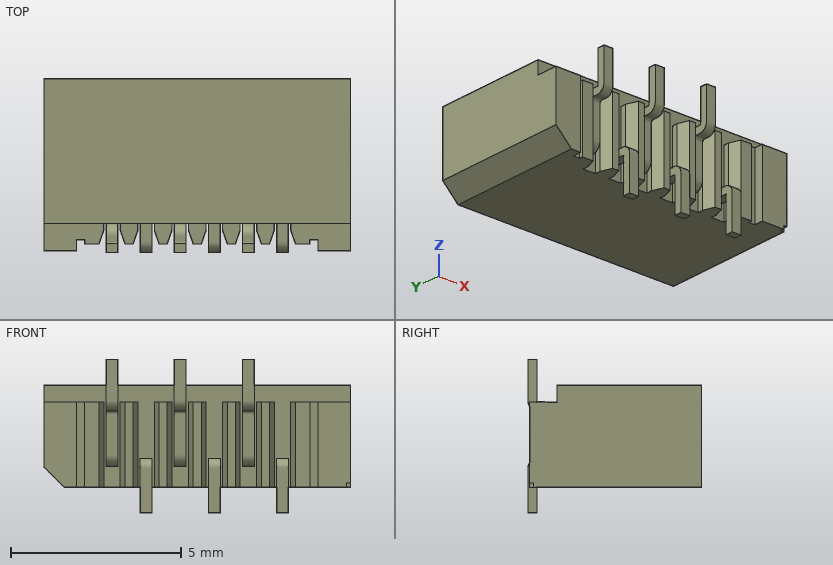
import cadquery as cq


housing_width = 9.0
housing_height = 3.0
block_depth = 4.25
front_depth = 0.8
ledge_drop = 0.5
edge_chamfer = 0.6

pitch = 1.0
pin_count = 6
slot_root_width = 0.48
slot_mouth_width = 0.76
slot_straight_depth = 0.2
rib_depth = 0.6
end_pad_width = 0.96
groove_width = 0.24
groove_bottom = 0.475

corner_notch = 0.12

pin_width = 0.35
pin_thickness = 0.27
pin_overhang = 0.75
pin_proud = 0.05
pin_embed = 0.5
tail_bend_radius = 0.03
root_bend_radius = 0.06
crank_bend_radius = 0.1
lower_tail_top = -0.65
crank_root_bottom = -0.89
crank_shelf_bottom = 0.74

half_width = housing_width / 2
half_height = housing_height / 2
ledge_z = half_height - ledge_drop
first_pin_x = -pitch * (pin_count - 1) / 2
pin_front = -(front_depth + pin_proud)
pin_back = pin_front + pin_thickness
tail_outer_radius = tail_bend_radius + pin_thickness
root_outer_radius = root_bend_radius + pin_thickness
crank_outer_radius = crank_bend_radius + pin_thickness


def extrude_comb_outline(outline):
    """Raise a plan outline from the housing floor to the ledge."""
    floor = cq.Workplane("XY", origin=(0, 0, -half_height))
    return floor.polyline(outline).close().extrude(ledge_z + half_height)


def main_block():
    floor = cq.Workplane("XY", origin=(-half_width, 0, -half_height))
    return floor.box(housing_width, block_depth, housing_height, centered=False)


def rib(center_x):
    half_root = (pitch - slot_root_width) / 2
    half_tip = (pitch - slot_mouth_width) / 2
    return extrude_comb_outline([
        (center_x - half_root, 0),
        (center_x - half_root, -slot_straight_depth),
        (center_x - half_tip, -rib_depth),
        (center_x + half_tip, -rib_depth),
        (center_x + half_root, -slot_straight_depth),
        (center_x + half_root, 0),
    ])


def left_end_block():
    pad_x = -half_width + end_pad_width
    groove_x = pad_x + groove_width
    return extrude_comb_outline([
        (-half_width, 0),
        (-half_width, -front_depth),
        (pad_x, -front_depth),
        (pad_x, -groove_bottom),
        (groove_x, -groove_bottom),
        (groove_x, -rib_depth),
        (first_pin_x - slot_mouth_width / 2, -rib_depth),
        (first_pin_x - slot_root_width / 2, -slot_straight_depth),
        (first_pin_x - slot_root_width / 2, 0),
    ])


def housing():
    body = main_block()
    end_block = left_end_block()
    body = body.union(end_block).union(end_block.mirror("YZ"))
    for index in range(pin_count - 1):
        body = body.union(rib(first_pin_x + (index + 0.5) * pitch))
    body = body.edges("|Y and <X and <Z").chamfer(edge_chamfer)
    notch_origin = (half_width - corner_notch, -front_depth, -half_height)
    notch = cq.Workplane("XY", origin=notch_origin).box(
        corner_notch, corner_notch, corner_notch, centered=False
    )
    return body.cut(notch)


def pin_profile_plane(center_x):
    return cq.Workplane("YZ", origin=(center_x, 0, 0))


def lower_pin(center_x):
    """Tail that leaves the wall level and turns straight down."""
    tip_z = -half_height - pin_overhang
    root_bottom = lower_tail_top - pin_thickness
    return (
        pin_profile_plane(center_x)
        .moveTo(pin_embed, lower_tail_top)
        .lineTo(pin_front + tail_outer_radius, lower_tail_top)
        .tangentArcPoint((pin_front, lower_tail_top - tail_outer_radius), relative=False)
        .lineTo(pin_front, tip_z)
        .lineTo(pin_back, tip_z)
        .lineTo(pin_back, root_bottom - tail_bend_radius)
        .tangentArcPoint((pin_back + tail_bend_radius, root_bottom), relative=False)
        .lineTo(pin_embed, root_bottom)
        .close()
        .extrude(pin_width / 2, both=True)
    )


def upper_pin(center_x):
    """Cranked tail: out of the wall, up along it, forward as a shelf, then up."""
    tip_z = half_height + pin_overhang
    riser_front = -pin_thickness
    root_top = crank_root_bottom + pin_thickness
    shelf_top = crank_shelf_bottom + pin_thickness
    return (
        pin_profile_plane(center_x)
        .moveTo(pin_embed, crank_root_bottom)
        .lineTo(riser_front + root_outer_radius, crank_root_bottom)
        .tangentArcPoint((riser_front, crank_root_bottom + root_outer_radius), relative=False)
        .lineTo(riser_front, crank_shelf_bottom - crank_bend_radius)
        .tangentArcPoint((riser_front - crank_bend_radius, crank_shelf_bottom), relative=False)
        .lineTo(pin_front + tail_outer_radius, crank_shelf_bottom)
        .tangentArcPoint((pin_front, crank_shelf_bottom + tail_outer_radius), relative=False)
        .lineTo(pin_front, tip_z)
        .lineTo(pin_back, tip_z)
        .lineTo(pin_back, shelf_top + tail_bend_radius)
        .tangentArcPoint((pin_back + tail_bend_radius, shelf_top), relative=False)
        .lineTo(-crank_outer_radius, shelf_top)
        .tangentArcPoint((0, shelf_top - crank_outer_radius), relative=False)
        .lineTo(0, root_top + root_bend_radius)
        .tangentArcPoint((root_bend_radius, root_top), relative=False)
        .lineTo(pin_embed, root_top)
        .close()
        .extrude(pin_width / 2, both=True)
    )


result = housing()
for pin_index in range(pin_count):
    pin_x = first_pin_x + pin_index * pitch
    make_pin = upper_pin if pin_index % 2 == 0 else lower_pin
    result = result.union(make_pin(pin_x))